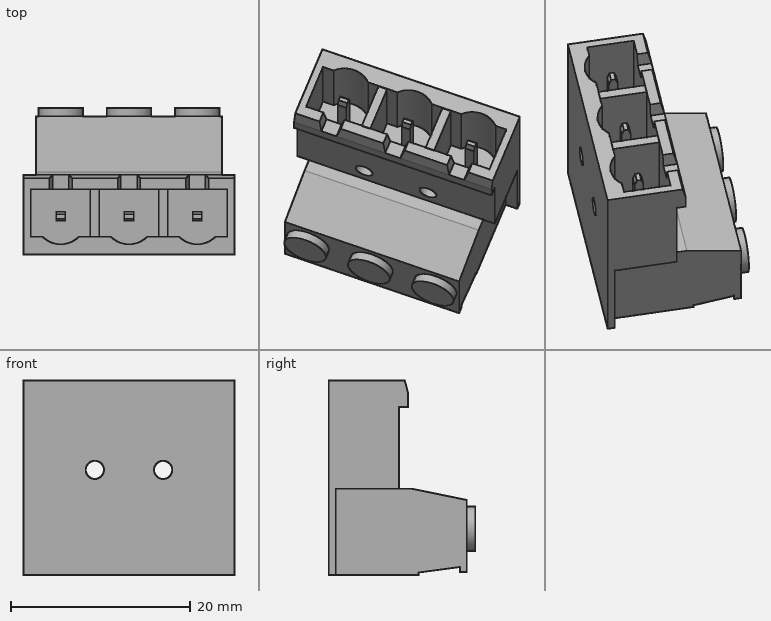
import cadquery as cq
WIDTH = 23.6
HEIGHT = 21.75
SHELL_DEPTH = 7.88
FRONT_PLATE = 0.83

LIP_DEPTH = 8.9
LIP_BOTTOM = 18.76
LIP_CHAMFER_DEPTH = 0.38
LIP_CHAMFER_HEIGHT = 1.46

HOUSING_WIDTH = 20.82
HOUSING_TOP = 9.68
HOUSING_DEPTH = 15.43
SLOPE_START = 9.25
SLOPE_END_HEIGHT = 8.4
FOOT_DEPTH = 0.78
FOOT_BOTTOM = 0.35
UNDERCUT_HIGH = 0.9
UNDERCUT_LOW = 0.28
BASE_DEPTH = 10.05

POLES = 3
PITCH = 7.62
POLE_CENTRES = [(i - (POLES - 1) / 2) * PITCH for i in range(POLES)]
GAP_CENTRES = [(i - (POLES - 2) / 2) * PITCH for i in range(POLES - 1)]

SIDE_WALL = 0.85
CAVITY_FRONT = 2.03
CAVITY_REAR = 7.32
CAVITY_FLOOR = 12.98
DIVIDER = 1.01
DIVIDER_TOP = 21.62
BULGE_WIDTH = 4.1
BULGE_DEPTH = 0.87

NOTCH_TOP_WIDTH = 2.55
NOTCH_BOTTOM_WIDTH = 1.8

PIN_SIZE = 1.01
PIN_CENTRE = 4.27
PIN_TOP = 20.1
PIN_TIP_DEPTH = 0.5
PIN_TIP_HEIGHT = 0.7

SCREW_DIAMETER = 5.0
SCREW_END = 16.4
SCREW_HEIGHT = 5.2
HOLE_DIAMETER = 2.0
HOLE_HEIGHT = 11.75


def side_profile(points, width):
    """Extrude a closed (y, z) outline symmetrically along X."""
    return cq.Workplane("YZ").polyline(points).close().extrude(width / 2, both=True)


def make_shell():
    return side_profile(
        [
            (0, 0),
            (FRONT_PLATE, 0),
            (FRONT_PLATE, HOUSING_TOP),
            (SHELL_DEPTH, HOUSING_TOP),
            (SHELL_DEPTH, LIP_BOTTOM),
            (LIP_DEPTH, LIP_BOTTOM),
            (LIP_DEPTH, HEIGHT - LIP_CHAMFER_HEIGHT),
            (LIP_DEPTH - LIP_CHAMFER_DEPTH, HEIGHT),
            (0, HEIGHT),
        ],
        WIDTH,
    )


def make_housing():
    foot_front = HOUSING_DEPTH - FOOT_DEPTH
    return side_profile(
        [
            (FRONT_PLATE, 0),
            (BASE_DEPTH, 0),
            (BASE_DEPTH, UNDERCUT_LOW),
            (foot_front, UNDERCUT_HIGH),
            (foot_front, FOOT_BOTTOM),
            (HOUSING_DEPTH, FOOT_BOTTOM),
            (HOUSING_DEPTH, SLOPE_END_HEIGHT),
            (SLOPE_START, HOUSING_TOP),
            (FRONT_PLATE, HOUSING_TOP),
        ],
        HOUSING_WIDTH,
    )


def make_cavity():
    """Pocket for the plug: a wide chamber whose front wall bulges at each pole."""
    half_width = WIDTH / 2 - SIDE_WALL
    cavity = (
        cq.Workplane("XY", origin=(0, 0, CAVITY_FLOOR))
        .moveTo(0, (CAVITY_FRONT + CAVITY_REAR) / 2)
        .rect(2 * half_width, CAVITY_REAR - CAVITY_FRONT)
        .extrude(HEIGHT - CAVITY_FLOOR)
    )
    for x in POLE_CENTRES:
        bulge = (
            cq.Workplane("XY", origin=(x, 0, CAVITY_FLOOR))
            .moveTo(-BULGE_WIDTH / 2, CAVITY_FRONT)
            .threePointArc((0, CAVITY_FRONT - BULGE_DEPTH), (BULGE_WIDTH / 2, CAVITY_FRONT))
            .close()
            .extrude(HEIGHT - CAVITY_FLOOR)
        )
        cavity = cavity.union(bulge)
    return cavity


def make_divider(x):
    return (
        cq.Workplane("XY", origin=(x, 0, CAVITY_FLOOR))
        .moveTo(0, (CAVITY_FRONT + CAVITY_REAR) / 2)
        .rect(DIVIDER, CAVITY_REAR - CAVITY_FRONT)
        .extrude(DIVIDER_TOP - CAVITY_FLOOR)
    )


def make_notch(x):
    """Tapered notch through the rear rim, as deep as the lip chamfer."""
    bottom = HEIGHT - LIP_CHAMFER_HEIGHT
    return (
        cq.Workplane("XZ", origin=(x, LIP_DEPTH, 0))
        .polyline(
            [
                (-NOTCH_BOTTOM_WIDTH / 2, bottom),
                (NOTCH_BOTTOM_WIDTH / 2, bottom),
                (NOTCH_TOP_WIDTH / 2, HEIGHT),
                (-NOTCH_TOP_WIDTH / 2, HEIGHT),
            ]
        )
        .close()
        .extrude(LIP_DEPTH - CAVITY_REAR)
    )


def make_pin(x):
    """Square pin with its tip bevelled at the front and rear."""
    half = PIN_SIZE / 2
    shoulder = PIN_TOP - PIN_TIP_HEIGHT
    return side_profile(
        [
            (PIN_CENTRE - half, CAVITY_FLOOR),
            (PIN_CENTRE + half, CAVITY_FLOOR),
            (PIN_CENTRE + half, shoulder),
            (PIN_CENTRE + PIN_TIP_DEPTH / 2, PIN_TOP),
            (PIN_CENTRE - PIN_TIP_DEPTH / 2, PIN_TOP),
            (PIN_CENTRE - half, shoulder),
        ],
        PIN_SIZE,
    ).translate((x, 0, 0))


def make_screw(x):
    return (
        cq.Workplane("XZ", origin=(x, SCREW_END, SCREW_HEIGHT))
        .circle(SCREW_DIAMETER / 2)
        .extrude(SCREW_END - HOUSING_DEPTH)
    )


def make_cross_hole(x):
    return (
        cq.Workplane("XZ", origin=(x, SHELL_DEPTH, HOLE_HEIGHT))
        .circle(HOLE_DIAMETER / 2)
        .extrude(SHELL_DEPTH)
    )


result = make_shell().union(make_housing()).cut(make_cavity())
for gap in GAP_CENTRES:
    result = result.union(make_divider(gap)).cut(make_cross_hole(gap))
for pole in POLE_CENTRES:
    result = result.cut(make_notch(pole)).union(make_pin(pole)).union(make_screw(pole))